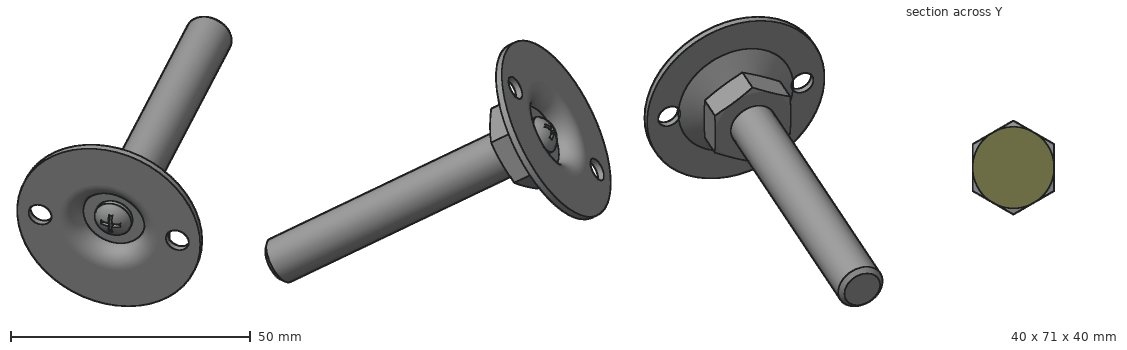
import cadquery as cq
import math

total_length = 71.0
plate_diameter = 40.0
plate_thickness = 1.5

hole_diameter = 5.0
hole_offset = 15.0

cone_base_radius = 12.9
cone_top_radius = 6.7
cone_height = 3.35

recess_floor_radius = 6.75
recess_depth = 4.0
recess_mouth_radius = recess_floor_radius + recess_depth

nut_across_flats = 17.0
nut_height = 6.1
nut_chamfer_height = 0.3
nut_chamfer_width = 1.3

stud_diameter = 10.0
stud_chamfer = 1.0

pin_radius = 8.0 / 2
dome_tip_y = 0.85
dome_height = 2.1
cross_length = 4.2
cross_width = 0.8
cross_depth = 1.15

cone_top_y = plate_thickness + cone_height
nut_end_y = cone_top_y + nut_height
dome_edge_y = dome_tip_y + dome_height


def turned(profile):
    """Revolve a closed (radius, y) profile about the Y axis."""
    return profile.close().revolve(360, (0, 0, 0), (0, 1, 0))


def cylinder_along_y(x, radius, start_y, end_y):
    """Cylinder parallel to Y between two stations."""
    plane = cq.Workplane("XZ", origin=(x, start_y, 0))
    return plane.circle(radius).extrude(start_y - end_y)


def make_plate():
    """Round plate with two fixing holes on the X axis."""
    plate = cylinder_along_y(0, plate_diameter / 2, 0, plate_thickness)
    for side in (-1, 1):
        plate = plate.cut(cylinder_along_y(side * hole_offset, hole_diameter / 2, 0, plate_thickness))
    return plate


def make_cone():
    """Solid cone between the plate and the nut."""
    return turned(
        cq.Workplane("XY")
        .moveTo(0, plate_thickness)
        .lineTo(cone_base_radius, plate_thickness)
        .lineTo(cone_top_radius, cone_top_y)
        .lineTo(0, cone_top_y)
    )


def make_recess():
    """Flat-floored recess whose wall is a quarter round, tangent to the plate face."""
    middle = recess_depth * math.sqrt(0.5)
    return turned(
        cq.Workplane("XY")
        .moveTo(0, 0)
        .lineTo(recess_mouth_radius, 0)
        .threePointArc(
            (recess_mouth_radius - middle, recess_depth - middle),
            (recess_floor_radius, recess_depth),
        )
        .lineTo(0, recess_depth)
    )


def make_nut():
    """Hexagon with corners on the Z axis and conically chamfered ends."""
    across_corners = nut_across_flats / math.cos(math.pi / 6)
    corner_radius = across_corners / 2
    hexagon = (
        cq.Workplane("XZ", origin=(0, cone_top_y, 0))
        .transformed(rotate=(0, 0, 90))
        .polygon(6, across_corners)
        .extrude(-nut_height)
    )
    envelope = turned(
        cq.Workplane("XY")
        .moveTo(0, cone_top_y)
        .lineTo(corner_radius - nut_chamfer_width, cone_top_y)
        .lineTo(corner_radius, cone_top_y + nut_chamfer_height)
        .lineTo(corner_radius, nut_end_y - nut_chamfer_height)
        .lineTo(corner_radius - nut_chamfer_width, nut_end_y)
        .lineTo(0, nut_end_y)
    )
    return hexagon.intersect(envelope)


def make_stud():
    """Plain stud with a chamfered free end."""
    stud = cylinder_along_y(0, stud_diameter / 2, nut_end_y, total_length)
    return stud.faces(">Y").chamfer(stud_chamfer)


def make_pin():
    """Pin on the recess floor, with a spherical dome cut by a cross."""
    sphere_radius = (pin_radius**2 + dome_height**2) / (2 * dome_height)
    arc_radius = pin_radius / 2
    arc_y = dome_tip_y + sphere_radius - math.sqrt(sphere_radius**2 - arc_radius**2)
    pin = turned(
        cq.Workplane("XY")
        .moveTo(0, dome_tip_y)
        .threePointArc((arc_radius, arc_y), (pin_radius, dome_edge_y))
        .lineTo(pin_radius, recess_depth)
        .lineTo(0, recess_depth)
    )
    for width, height in ((cross_length, cross_width), (cross_width, cross_length)):
        bar = cq.Workplane("XZ").rect(width, height).extrude(-dome_tip_y - cross_depth)
        pin = pin.cut(bar)
    return pin


foot = make_plate().union(make_cone()).cut(make_recess())
result = foot.union(make_nut()).union(make_stud()).union(make_pin())